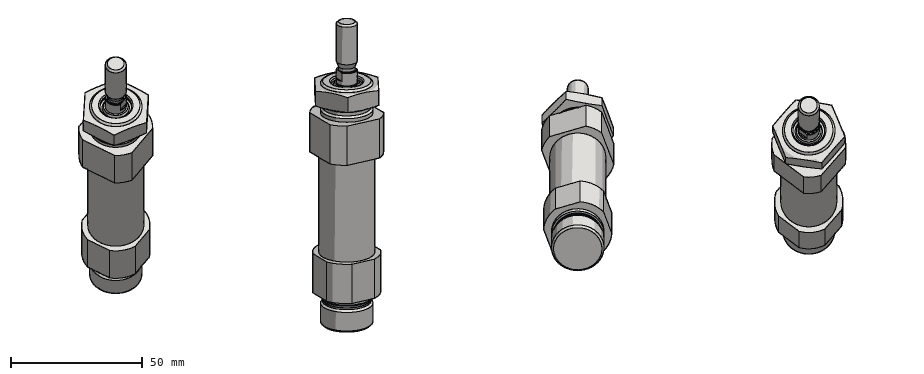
import cadquery as cq
import math

LENGTH = 123.1
FLAT_WIDTH = 24.0

LOWER_HEAD_BOTTOM = 13.2
LOWER_HEAD_TOP = 29.2
HEAD_HEIGHT = LOWER_HEAD_TOP - LOWER_HEAD_BOTTOM
UPPER_HEAD_TOP = 85.9
UPPER_HEAD_BOTTOM = UPPER_HEAD_TOP - HEAD_HEIGHT
HOUSING_TOP = 98.8

TUBE_DIAMETER = 21.3
COLLAR_DIAMETER = 20.0
NECK_DIAMETER = 18.3
GROOVE_DIAMETER = 18.0
UPPER_HEAD_DIAMETER = 28.1
LOWER_HEAD_DIAMETER = 26.0

COLLAR_CHAMFER = (COLLAR_DIAMETER - NECK_DIAMETER) / 2
LOWER_COLLAR_TOP = 8.4
LOWER_NECK_TOP = 11.3
LOWER_GROOVE_BOTTOM = 9.8
LOWER_GROOVE_TOP = 10.6
UPPER_NECK_BOTTOM = 87.4
UPPER_NECK_TOP = 90.4

BORE_DIAMETER = 12.1
BORE_CHAMFER = 0.5
BORE_DEPTH = 1.5
LIP_TOP_DIAMETER = 9.4
LIP_BASE_DIAMETER = 10.3
LIP_DEPTH = 0.5

ROD_DIAMETER = 8.0
ROD_BOTTOM = UPPER_HEAD_BOTTOM
ROD_NECK_DIAMETER = 6.4
ROD_CHAMFER = (ROD_DIAMETER - ROD_NECK_DIAMETER) / 2
THREAD_BOTTOM = 107.0
ROD_NECK_TOP = 104.9
SHANK_TOP = 103.7
SHANK_CHAMFER = 0.2
WRENCH_WIDTH = 6.9
WRENCH_BOTTOM = 100.1

NUT_BOTTOM = 91.0
NUT_HEIGHT = 7.0
NUT_CORNER_DIAMETER = FLAT_WIDTH / math.cos(math.radians(30))
NUT_CORNER_DROP = 0.5


def revolve_profile(points):
    """Revolve a closed (radius, z) outline about the Z axis."""
    return cq.Workplane("XZ").polyline(points).close().revolve(360, (0, 0, 0), (0, 1, 0))


def make_head(bottom, corner_diameter):
    """Square block whose four corners are rounded to a circle."""
    block = cq.Workplane("XY", origin=(0, 0, bottom)).rect(FLAT_WIDTH, FLAT_WIDTH).extrude(HEAD_HEIGHT)
    corner_round = cq.Workplane("XY", origin=(0, 0, bottom)).circle(corner_diameter / 2).extrude(HEAD_HEIGHT)
    return block.intersect(corner_round)


def make_rod_opening():
    """Space removed from the housing for the rod and the bore around the wiper lip."""
    floor = HOUSING_TOP - BORE_DEPTH
    crest = HOUSING_TOP - LIP_DEPTH
    return revolve_profile([
        (0, ROD_BOTTOM),
        (ROD_DIAMETER / 2, ROD_BOTTOM),
        (ROD_DIAMETER / 2, crest),
        (LIP_TOP_DIAMETER / 2, crest),
        (LIP_BASE_DIAMETER / 2, floor),
        (BORE_DIAMETER / 2, floor),
        (BORE_DIAMETER / 2, HOUSING_TOP - BORE_CHAMFER),
        (BORE_DIAMETER / 2 + BORE_CHAMFER, HOUSING_TOP),
        (0, HOUSING_TOP),
    ])


def make_housing():
    """Tube with its two heads, end collars and rod opening."""
    collar = COLLAR_DIAMETER / 2
    neck = NECK_DIAMETER / 2
    groove = GROOVE_DIAMETER / 2
    core = revolve_profile([
        (0, 0),
        (neck, 0),
        (collar, COLLAR_CHAMFER),
        (collar, LOWER_COLLAR_TOP),
        (neck, LOWER_COLLAR_TOP + COLLAR_CHAMFER),
        (neck, LOWER_GROOVE_BOTTOM),
        (groove, LOWER_GROOVE_BOTTOM),
        (groove, LOWER_GROOVE_TOP),
        (neck, LOWER_GROOVE_TOP),
        (neck, LOWER_NECK_TOP),
        (collar, LOWER_NECK_TOP),
        (collar, LOWER_HEAD_BOTTOM),
        (TUBE_DIAMETER / 2, LOWER_HEAD_BOTTOM),
        (TUBE_DIAMETER / 2, UPPER_HEAD_TOP),
        (collar, UPPER_HEAD_TOP),
        (collar, UPPER_NECK_BOTTOM),
        (neck, UPPER_NECK_BOTTOM + COLLAR_CHAMFER),
        (neck, UPPER_NECK_TOP - COLLAR_CHAMFER),
        (collar, UPPER_NECK_TOP),
        (collar, HOUSING_TOP - COLLAR_CHAMFER),
        (neck, HOUSING_TOP),
        (0, HOUSING_TOP),
    ])
    lower_head = make_head(LOWER_HEAD_BOTTOM, LOWER_HEAD_DIAMETER)
    upper_head = make_head(UPPER_HEAD_BOTTOM, UPPER_HEAD_DIAMETER)
    return core.union(lower_head).union(upper_head).cut(make_rod_opening())


def make_rod():
    """Piston rod with a threaded end, a neck and two wrench flats."""
    radius = ROD_DIAMETER / 2
    neck = ROD_NECK_DIAMETER / 2
    rod = revolve_profile([
        (0, ROD_BOTTOM),
        (radius, ROD_BOTTOM),
        (radius, SHANK_TOP - SHANK_CHAMFER),
        (radius - SHANK_CHAMFER, SHANK_TOP),
        (neck, SHANK_TOP),
        (neck, ROD_NECK_TOP),
        (radius, THREAD_BOTTOM),
        (radius, LENGTH - ROD_CHAMFER),
        (radius - ROD_CHAMFER, LENGTH),
        (0, LENGTH),
    ])
    flat_zone = cq.Workplane("XY", origin=(0, 0, WRENCH_BOTTOM))
    flat_height = SHANK_TOP - WRENCH_BOTTOM
    flat_cutter = (
        flat_zone.rect(2 * ROD_DIAMETER, 2 * ROD_DIAMETER).extrude(flat_height)
        .cut(flat_zone.rect(WRENCH_WIDTH, 2 * ROD_DIAMETER).extrude(flat_height))
    )
    return rod.cut(flat_cutter)


def make_nut():
    """Hexagon nut with bevelled corners, two of them on the X axis."""
    nut_top = NUT_BOTTOM + NUT_HEIGHT
    face_radius = FLAT_WIDTH / 2
    corner_radius = NUT_CORNER_DIAMETER / 2
    bevel_envelope = revolve_profile([
        (0, NUT_BOTTOM),
        (face_radius, NUT_BOTTOM),
        (corner_radius, NUT_BOTTOM + NUT_CORNER_DROP),
        (corner_radius, nut_top - NUT_CORNER_DROP),
        (face_radius, nut_top),
        (0, nut_top),
    ])
    base = cq.Workplane("XY", origin=(0, 0, NUT_BOTTOM))
    hexagon = base.polygon(6, NUT_CORNER_DIAMETER).extrude(NUT_HEIGHT)
    hole = base.circle(COLLAR_DIAMETER / 2).extrude(NUT_HEIGHT)
    return hexagon.intersect(bevel_envelope).cut(hole)


housing = make_housing()
rod = make_rod()
nut = make_nut()

result = cq.Compound.makeCompound([housing.val(), rod.val(), nut.val()])